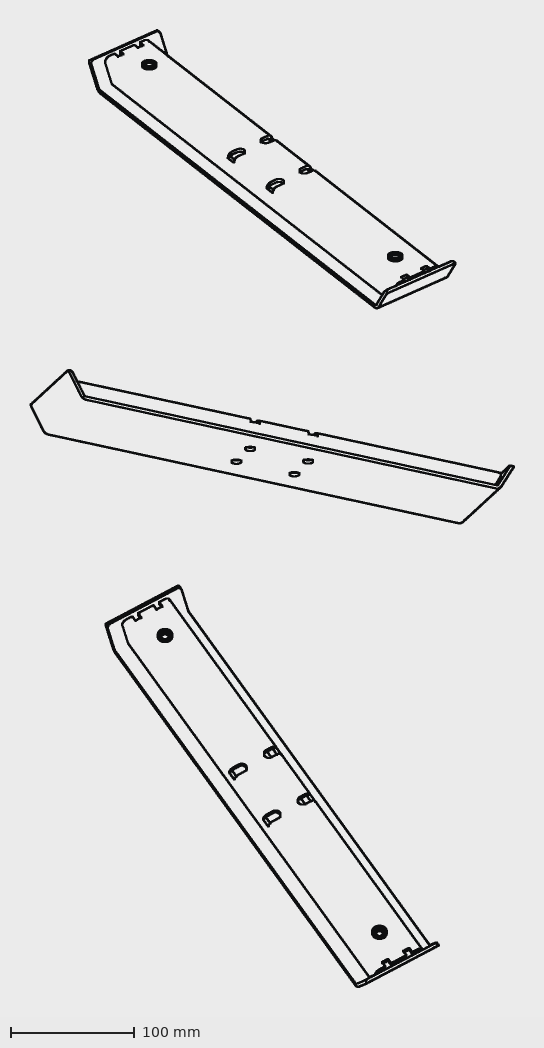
import cadquery as cq
import math

LENGTH = 400.0
WIDTH = 70.0
HEIGHT = 25.0
SHEET = 3.0
LEAN = math.radians(29)
BEND_INSIDE = 1.0
BEND_OUTSIDE = 6.0
WALL_CORNER = 3.0

CHANNEL_WIDTH = 45.0
CHANNEL_TOP = 24.0
CHANNEL_LENGTH = 389.0
CHANNEL_BEND = 5.0

SLOT_X = 26.0
SLOT_Y = 13.0
SLOT_WIDTH = 8.0
SLOT_DEPTH = 4.5

NOTCH_Y = 10.0
NOTCH_WIDTH = 5.5
NOTCH_DEPTH = 5.0

COLLAR_X = 165.0
COLLAR_DIAMETER = 12.0
COLLAR_BORE = 6.5
COUNTERBORE_DIAMETER = 9.0
COUNTERBORE_DEPTH = 1.0

outer_tip_z = HEIGHT - SHEET * math.sin(LEAN)
outer_foot_x = LENGTH / 2 - outer_tip_z * math.tan(LEAN)
inner_tip_x = LENGTH / 2 - SHEET * math.cos(LEAN)
inner_foot_x = inner_tip_x - (HEIGHT - SHEET) * math.tan(LEAN)


def box_between(x0, x1, y0, y1, z0, z1):
    size = (x1 - x0, y1 - y0, z1 - z0)
    return cq.Workplane("XY").box(*size, centered=False).translate((x0, y0, z0))


def extrude_across(points, width):
    """Extrude an XZ outline symmetrically along Y."""
    return cq.Workplane("XZ").polyline(points).close().extrude(width / 2, both=True)


def make_tray():
    outer = extrude_across(
        [
            (-outer_foot_x, 0),
            (outer_foot_x, 0),
            (LENGTH / 2, outer_tip_z),
            (inner_tip_x, HEIGHT),
            (-inner_tip_x, HEIGHT),
            (-LENGTH / 2, outer_tip_z),
        ],
        WIDTH,
    )
    outer = outer.edges("|Y and <Z").fillet(BEND_OUTSIDE)
    cavity = extrude_across(
        [
            (-inner_foot_x, SHEET),
            (inner_foot_x, SHEET),
            (inner_tip_x, HEIGHT),
            (-inner_tip_x, HEIGHT),
        ],
        WIDTH,
    )
    cavity = cavity.edges("|Y and <Z").fillet(BEND_INSIDE)
    side_outline = (
        cq.Workplane("YZ")
        .rect(WIDTH, 2 * HEIGHT)
        .extrude(LENGTH / 2, both=True)
        .edges("|X and >Z")
        .fillet(WALL_CORNER)
    )
    return outer.cut(cavity).intersect(side_outline)


def channel_block(width, top, bend):
    """Solid bar on the base with rounded upper edges."""
    bar = box_between(-LENGTH / 2, LENGTH / 2, -width / 2, width / 2, SHEET, top)
    return bar.edges("|X and >Z").fillet(bend)


def make_channel():
    outside = channel_block(CHANNEL_WIDTH, CHANNEL_TOP, CHANNEL_BEND)
    inside = channel_block(CHANNEL_WIDTH - 2 * SHEET, CHANNEL_TOP - SHEET, CHANNEL_BEND - SHEET)
    end_z = SHEET + (CHANNEL_LENGTH / 2 - inner_foot_x) / math.tan(LEAN)
    end_shape = extrude_across(
        [
            (-inner_foot_x, SHEET),
            (inner_foot_x, SHEET),
            (CHANNEL_LENGTH / 2, end_z),
            (CHANNEL_LENGTH / 2, CHANNEL_TOP),
            (-CHANNEL_LENGTH / 2, CHANNEL_TOP),
            (-CHANNEL_LENGTH / 2, end_z),
        ],
        CHANNEL_WIDTH,
    )
    return outside.cut(inside).intersect(end_shape)


def edge_slot(x, side):
    """Open slot across one upper channel edge; side is +1 or -1 along Y."""
    floor = CHANNEL_TOP - SLOT_DEPTH
    radius = SLOT_WIDTH / 2
    y_inner, y_outer = sorted((side * SLOT_Y, side * CHANNEL_WIDTH / 2))
    straight = box_between(x - radius, x + radius, y_inner, y_outer, floor, CHANNEL_TOP)
    round_end = cq.Workplane("XY", origin=(x, side * SLOT_Y, floor)).circle(radius).extrude(SLOT_DEPTH)
    return straight.union(round_end)


def end_notch(end, y):
    """Rectangular notch in the top sheet at one channel end."""
    x0, x1 = sorted((end * CHANNEL_LENGTH / 2, end * (CHANNEL_LENGTH / 2 - NOTCH_DEPTH)))
    half = NOTCH_WIDTH / 2
    return box_between(x0, x1, y - half, y + half, CHANNEL_TOP - SHEET, CHANNEL_TOP)


def collar_cylinder(x, diameter):
    """Cylinder from the underside of the channel's top sheet to the collar rim."""
    underside = CHANNEL_TOP - SHEET
    return cq.Workplane("XY", origin=(x, 0, underside)).circle(diameter / 2).extrude(HEIGHT - underside)


def make_collar(x):
    """Raised ring with a counterbored hole."""
    blank = collar_cylinder(x, COLLAR_DIAMETER)
    return blank.faces(">Z").workplane().cboreHole(COLLAR_BORE, COUNTERBORE_DIAMETER, COUNTERBORE_DEPTH)


tray = make_tray()
channel = make_channel()

for x in (-SLOT_X, SLOT_X):
    for side in (-1, 1):
        channel = channel.cut(edge_slot(x, side))
        hole_centre = cq.Workplane("XY", origin=(x, side * SLOT_Y, 0))
        tray = tray.cut(hole_centre.circle(SLOT_WIDTH / 2).extrude(SHEET))

for end in (-1, 1):
    for y in (-NOTCH_Y, NOTCH_Y):
        channel = channel.cut(end_notch(end, y))

for x in (-COLLAR_X, COLLAR_X):
    channel = channel.cut(collar_cylinder(x, COLLAR_DIAMETER)).union(make_collar(x))

result = tray.union(channel)